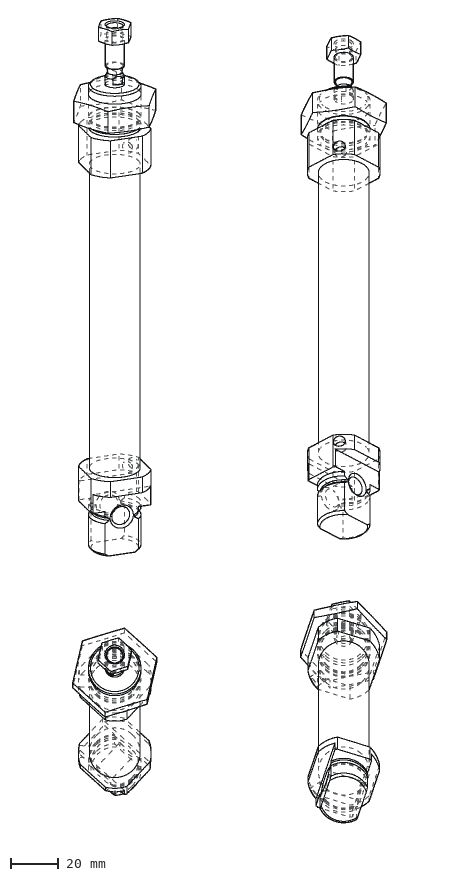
import cadquery as cq
import math


LUG_CHAMFER_TOP = 1.2
EYE_Z = 17.0
REAR_FLANGE_BOTTOM = 20.3
REAR_CAP_BOTTOM = 28.9
REAR_CAP_TOP = 36.0
FRONT_CAP_BOTTOM = 173.4
FRONT_CAP_TOP = 190.2
MOUNTING_NUT_BOTTOM = 194.5
MOUNTING_NUT_TOP = 205.0
COLLAR_TOP = 209.5
TOTAL_HEIGHT = 236.5

BARREL_DIAMETER = 21.3
CAP_WIDTH = 27.0
CAP_CORNER_DIAMETER = 30.5
COLLAR_DIAMETER = 22.0
COLLAR_END_DIAMETER = 20.3
LUG_END_DIAMETER = 19.9
COLLAR_CHAMFER_HEIGHT = 1.0
GROOVE_DIAMETER = 19.6
GROOVE_FLOOR_WIDTH = 1.0
GROOVE_SIDE_HEIGHT = 1.2
COLLAR_GROOVE_Z = FRONT_CAP_TOP + 2.8
LUG_GROOVE_Z = 16.5
LUG_THICKNESS = 16.0
EYE_DIAMETER = 8.0
EYE_CHAMFER = 1.2
PORT_DIAMETER = 5.0
PORT_DEPTH = 4.7
PORT_ANGLE = 128.0
FRONT_PORT_Z = 177.2
REAR_PORT_Z = 32.6

MOUNTING_NUT_FLATS = 32.0
MOUNTING_NUT_CHAMFER_HEIGHT = 0.5

ROD_DIAMETER = 8.0
ROD_SHOULDER_BOTTOM = 213.4
NECK_DIAMETER = 6.1
NECK_BOTTOM = 215.0
NECK_TOP = 215.5
THREAD_BOTTOM = 217.8
THREAD_END_DIAMETER = 6.9
ROD_FLATS = 6.9
ROD_FLATS_BOTTOM = 210.7
ROD_NUT_FLATS = 12.8
ROD_NUT_HEIGHT = 6.6
ROD_NUT_BORE = 6.9
ROD_NUT_CHAMFER_HEIGHT = 0.2
ROD_NUT_RECESS = 2.8
ROD_NUT_BOTTOM = TOTAL_HEIGHT - ROD_NUT_HEIGHT


def cylinder(diameter, bottom, top):
    return cq.Workplane("XY").workplane(offset=bottom).circle(diameter / 2).extrude(top - bottom)


def cone(bottom_diameter, top_diameter, bottom, top):
    """Truncated cone on the Z axis."""
    return cq.Workplane(
        cq.Solid.makeCone(bottom_diameter / 2, top_diameter / 2, top - bottom, cq.Vector(0, 0, bottom))
    )


def block(x_size, y_size, bottom, top):
    return cq.Workplane("XY").workplane(offset=bottom).rect(x_size, y_size).extrude(top - bottom)


def cap(bottom, top):
    """Square end cap with its corners turned round."""
    return block(CAP_WIDTH, CAP_WIDTH, bottom, top).intersect(cylinder(CAP_CORNER_DIAMETER, bottom, top))


def groove(z):
    """Ring cut out of a threaded length, with sloping sides."""
    inner = GROOVE_DIAMETER / 2
    outer = COLLAR_DIAMETER / 2
    half = GROOVE_FLOOR_WIDTH / 2
    return (
        cq.Workplane("XZ")
        .polyline([
            (inner, z - half),
            (outer, z - half - GROOVE_SIDE_HEIGHT),
            (outer, z + half + GROOVE_SIDE_HEIGHT),
            (inner, z + half),
        ])
        .close()
        .revolve(360, (0, 0, 0), (0, 1, 0))
    )


def port(z):
    """Radial air port in a rounded cap corner."""
    angle = math.radians(PORT_ANGLE)
    outward = cq.Vector(math.cos(angle), math.sin(angle), 0)
    outer_radius = CAP_WIDTH / math.sqrt(2)
    inner_radius = CAP_CORNER_DIAMETER / 2 - PORT_DEPTH
    start = outward * inner_radius + cq.Vector(0, 0, z)
    return cq.Workplane(cq.Solid.makeCylinder(PORT_DIAMETER / 2, outer_radius - inner_radius, start, outward))


def rear_end():
    """Rear cap and threaded lug, both narrowed to the lug thickness, with the pivot eye."""
    lug = cone(LUG_END_DIAMETER, COLLAR_DIAMETER, 0, LUG_CHAMFER_TOP)
    lug = lug.union(cylinder(COLLAR_DIAMETER, LUG_CHAMFER_TOP, REAR_FLANGE_BOTTOM))
    lug = lug.cut(groove(LUG_GROOVE_Z))
    lug = lug.union(cap(REAR_FLANGE_BOTTOM, REAR_CAP_BOTTOM))
    lug = lug.intersect(block(LUG_THICKNESS, CAP_WIDTH, 0, REAR_CAP_BOTTOM))
    eye = cq.Workplane("YZ").center(0, EYE_Z).circle(EYE_DIAMETER / 2).extrude(LUG_THICKNESS / 2, both=True)
    lug = lug.cut(eye)
    for side in (-1, 1):
        countersink = cq.Solid.makeCone(
            EYE_DIAMETER / 2 + EYE_CHAMFER,
            EYE_DIAMETER / 2,
            EYE_CHAMFER,
            cq.Vector(side * LUG_THICKNESS / 2, 0, EYE_Z),
            cq.Vector(-side, 0, 0),
        )
        lug = lug.cut(cq.Workplane(countersink))
    return lug.union(cap(REAR_CAP_BOTTOM, REAR_CAP_TOP))


def front_end():
    """Front cap and threaded collar."""
    chamfer_bottom = COLLAR_TOP - COLLAR_CHAMFER_HEIGHT
    collar = cylinder(COLLAR_DIAMETER, FRONT_CAP_TOP, chamfer_bottom)
    collar = collar.union(cone(COLLAR_DIAMETER, COLLAR_END_DIAMETER, chamfer_bottom, COLLAR_TOP))
    collar = collar.cut(groove(COLLAR_GROOVE_Z))
    return collar.union(cap(FRONT_CAP_BOTTOM, FRONT_CAP_TOP))


def make_housing():
    barrel = cylinder(BARREL_DIAMETER, REAR_CAP_TOP, FRONT_CAP_BOTTOM)
    body = rear_end().union(barrel).union(front_end())
    for z in (REAR_PORT_Z, FRONT_PORT_Z):
        body = body.cut(port(z))
    return body


def hexagon(flats, bottom, top, chamfer_height):
    """Hexagonal prism with corners on the Y axis, its corners chamfered at both ends."""
    corners = flats / math.cos(math.radians(30))
    prism = cq.Workplane("XY").workplane(offset=bottom).polygon(6, corners).extrude(top - bottom)
    prism = prism.rotate((0, 0, 0), (0, 0, 1), 30)
    turned = cylinder(corners, bottom + chamfer_height, top - chamfer_height)
    turned = turned.union(cone(flats, corners, bottom, bottom + chamfer_height))
    turned = turned.union(cone(corners, flats, top - chamfer_height, top))
    return prism.intersect(turned)


def make_mounting_nut():
    nut = hexagon(MOUNTING_NUT_FLATS, MOUNTING_NUT_BOTTOM, MOUNTING_NUT_TOP, MOUNTING_NUT_CHAMFER_HEIGHT)
    return nut.cut(cylinder(COLLAR_DIAMETER, MOUNTING_NUT_BOTTOM, MOUNTING_NUT_TOP))


def make_rod():
    """Rod with wrench flats, a neck below its thread, and an end that fills the rod nut's bore."""
    base = cylinder(ROD_DIAMETER, COLLAR_TOP, ROD_SHOULDER_BOTTOM)
    base = base.union(cone(ROD_DIAMETER, NECK_DIAMETER, ROD_SHOULDER_BOTTOM, NECK_BOTTOM))
    flats = block(ROD_FLATS, ROD_DIAMETER, ROD_FLATS_BOTTOM, NECK_BOTTOM)
    base = base.intersect(flats.union(cylinder(ROD_DIAMETER, COLLAR_TOP, ROD_FLATS_BOTTOM)))
    neck = cylinder(NECK_DIAMETER, NECK_BOTTOM, NECK_TOP)
    neck = neck.union(cone(NECK_DIAMETER, THREAD_END_DIAMETER, NECK_TOP, THREAD_BOTTOM))
    thread = cylinder(ROD_DIAMETER, THREAD_BOTTOM, ROD_NUT_BOTTOM)
    tip = cylinder(ROD_NUT_BORE, ROD_NUT_BOTTOM, TOTAL_HEIGHT - ROD_NUT_RECESS)
    return base.union(neck).union(thread).union(tip)


def make_rod_nut():
    nut = hexagon(ROD_NUT_FLATS, ROD_NUT_BOTTOM, TOTAL_HEIGHT, ROD_NUT_CHAMFER_HEIGHT)
    nut = nut.cut(cylinder(ROD_NUT_BORE, ROD_NUT_BOTTOM, TOTAL_HEIGHT))
    countersink_depth = (ROD_DIAMETER - ROD_NUT_BORE) / 2
    return nut.cut(cone(ROD_NUT_BORE, ROD_DIAMETER, TOTAL_HEIGHT - countersink_depth, TOTAL_HEIGHT))


housing = make_housing()
mounting_nut = make_mounting_nut()
rod = make_rod()
rod_nut = make_rod_nut()

result = cq.Compound.makeCompound([housing.val(), mounting_nut.val(), rod.val(), rod_nut.val()])